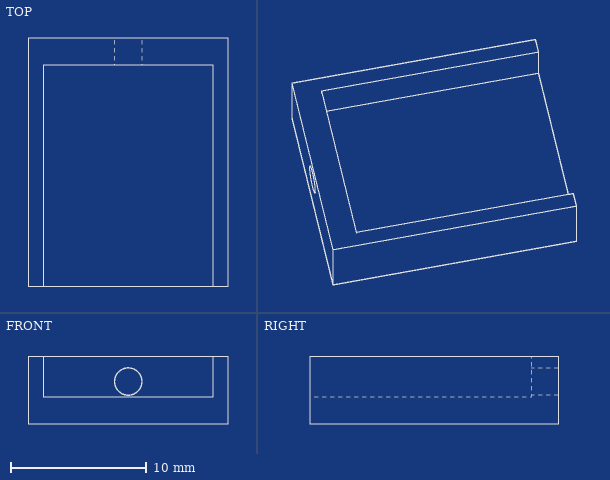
import cadquery as cq

width = 14.75
length = 18.4
height = 5.0

side_wall = 1.12
back_wall = 2.0
floor_thickness = 2.0

hole_diameter = 2.0
hole_height = 3.15

pocket_width = width - 2 * side_wall
pocket_length = length - back_wall
pocket_depth = height - floor_thickness

block = cq.Workplane("XY").box(width, length, height, centered=(True, False, False))

pocket = (
    cq.Workplane("XY")
    .workplane(offset=floor_thickness)
    .box(pocket_width, pocket_length, pocket_depth, centered=(True, False, False))
)

hole = (
    cq.Workplane("XZ", origin=(0, length, 0))
    .center(0, hole_height)
    .circle(hole_diameter / 2)
    .extrude(back_wall)
)

result = block.cut(pocket).cut(hole)